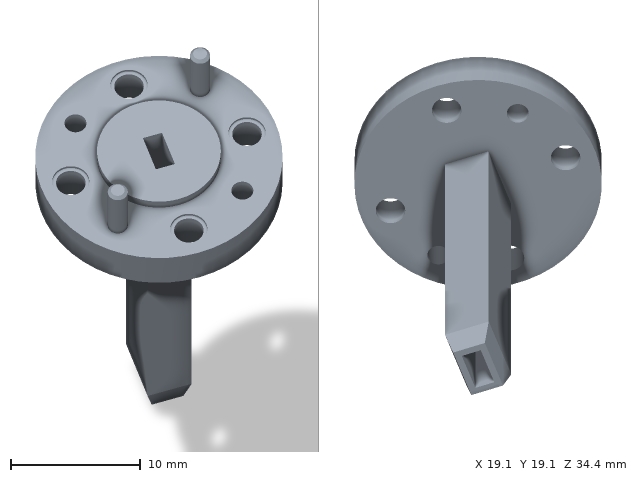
import cadquery as cq

total_height = 34.42
flange_diameter = 19.05
flange_thickness = 3.3
flange_top = 29.75
flange_bottom = flange_top - flange_thickness

boss_diameter = 9.55
boss_height = 0.8
boss_top = flange_top + boss_height

bore_x = 3.1
bore_y = 1.55
tube_x = 5.13
tube_y = 3.58
tip_wall = 0.5
tip_x = bore_x + 2 * tip_wall
tip_y = bore_y + 2 * tip_wall
tip_length = 2.05

pitch_radius = 7.15
screw_hole_diameter = 2.27
screw_counterbore_diameter = 2.85
screw_counterbore_depth = 0.2
align_hole_diameter = 1.7
pin_diameter = 1.55
pin_chamfer = 0.25
screw_angles = (0, 90, 180, 270)
align_hole_angles = (45, 225)
pin_angles = (135, 315)


def on_pitch_circle(z, angles):
    """Workplane at height z with one point per angle on the pitch circle."""
    plane = cq.Workplane("XY").workplane(offset=z)
    return plane.polarArray(pitch_radius, angles[0], 360, len(angles))


def make_flange():
    """Disc with its boss, counterbored screw holes and alignment holes."""
    flange = cq.Workplane("XY").workplane(offset=flange_bottom)
    flange = flange.circle(flange_diameter / 2).extrude(flange_thickness)
    flange = flange.faces(">Z").workplane().circle(boss_diameter / 2).extrude(boss_height)
    screw_holes = on_pitch_circle(flange_bottom, screw_angles)
    flange = flange.cut(screw_holes.circle(screw_hole_diameter / 2).extrude(flange_thickness))
    align_holes = on_pitch_circle(flange_bottom, align_hole_angles)
    flange = flange.cut(align_holes.circle(align_hole_diameter / 2).extrude(flange_thickness))
    counterbores = on_pitch_circle(flange_top, screw_angles).circle(screw_counterbore_diameter / 2)
    return flange.cut(counterbores.extrude(-screw_counterbore_depth))


def make_tube():
    """Solid rectangular bar from the flange top down to the tapered tip."""
    bar = cq.Workplane("XY").workplane(offset=tip_length)
    bar = bar.rect(tube_x, tube_y).extrude(flange_top - tip_length)
    tip = cq.Workplane("XY").rect(tip_x, tip_y)
    tip = tip.workplane(offset=tip_length).rect(tube_x, tube_y).loft(ruled=True)
    return bar.union(tip)


def make_pins():
    """Alignment pins seated through the flange, chamfered on top."""
    pins = on_pitch_circle(flange_bottom, pin_angles).circle(pin_diameter / 2)
    pins = pins.extrude(total_height - flange_bottom)
    return pins.faces(">Z").edges().chamfer(pin_chamfer)


bore = cq.Workplane("XY").rect(bore_x, bore_y).extrude(boss_top)
result = make_flange().union(make_tube()).union(make_pins()).cut(bore)